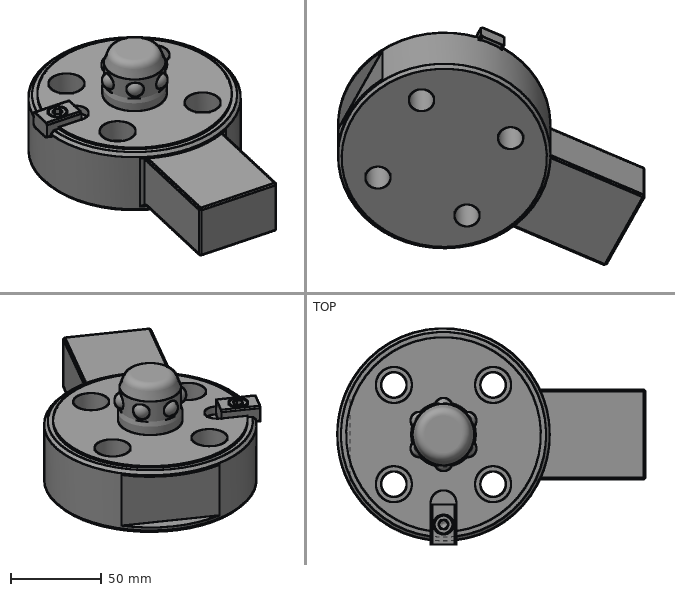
import cadquery as cq
import math

disc_radius = 59.0
disc_height = 40.0
rim_chamfer = 2.0
raised_face_radius = 54.0
raised_face_height = 1.0
rim_height = disc_height - raised_face_height

flat_distance = 52.0
flat_bottom = 4.0
flat_height = 32.0

hole_pitch = 55.0
hole_diameter = 14.0
counterbore_diameter = 20.0
counterbore_depth = 13.0

total_height = 69.5
post_radius = 18.0
neck_radius = 17.1
post_shoulder_z = 45.1
neck_bottom_z = 47.9
neck_top_z = 60.7
nose_angle = 20.0
nose_fillet = 5.0

ball_count = 6
ball_radius = 5.0
ball_tip_reach = 20.3
ball_z = 53.9

arm_end = 112.0
arm_width = 50.0
arm_chamfer = 1.0

key_width = 14.4
key_height = 10.0
key_length = 22.2
key_bottom = 35.0
key_outer_y = -61.0
key_chamfer = 1.0
slot_inner_y = -31.0

screw_y = -50.0
screw_head_radius = 5.0
screw_head_height = 6.0
screw_shank_radius = 3.0
screw_shank_length = 16.0
head_recess_radius = 5.5
socket_across_flats = 5.0
socket_depth = 4.0
socket_point_angle = 120.0

key_top = key_bottom + key_height
head_seat_z = key_top - screw_head_height


def upright_cylinder(radius, bottom, top, y=0.0):
    """Cylinder on a vertical axis between two heights."""
    return cq.Workplane("XY", origin=(0, y, bottom)).circle(radius).extrude(top - bottom)


def screw_shank():
    """Plain shank of the screw; also the shape of its hole in the key and the base."""
    return upright_cylinder(screw_shank_radius, head_seat_z - screw_shank_length, head_seat_z, y=screw_y)


def make_disc():
    """Round disc with chamfered rims and a low raised face on top."""
    disc = upright_cylinder(disc_radius, 0, rim_height)
    disc = disc.faces("<Z or >Z").chamfer(rim_chamfer)
    return disc.union(upright_cylinder(raised_face_radius, 0, disc_height))


def end_flats():
    """Cutters that leave a flat at each end of the disc in X."""
    cutters = cq.Workplane("XY")
    for side in (-1, 1):
        block = cq.Workplane("XY").box(
            disc_radius, 2 * disc_radius, flat_height, centered=(True, True, False)
        )
        centre_x = side * (flat_distance + disc_radius / 2)
        cutters = cutters.add(block.translate((centre_x, 0, flat_bottom)))
    return cutters.combine()


def key_slot():
    """Slot for the key: round inner end, open through the -Y rim."""
    end_radius = key_width / 2
    arc_centre_y = slot_inner_y - end_radius
    return (
        cq.Workplane("XY", origin=(0, 0, key_bottom))
        .moveTo(-end_radius, arc_centre_y)
        .threePointArc((0, slot_inner_y), (end_radius, arc_centre_y))
        .lineTo(end_radius, key_outer_y)
        .lineTo(-end_radius, key_outer_y)
        .close()
        .extrude(disc_height - key_bottom)
    )


def post_blank():
    """Turned post: cylinder, conical shoulder, neck and a rounded conical nose."""
    nose_tip_radius = neck_radius - (total_height - neck_top_z) * math.tan(math.radians(nose_angle))
    post = (
        cq.Workplane("XZ")
        .moveTo(0, disc_height)
        .lineTo(post_radius, disc_height)
        .lineTo(post_radius, post_shoulder_z)
        .lineTo(neck_radius, neck_bottom_z)
        .lineTo(neck_radius, neck_top_z)
        .lineTo(nose_tip_radius, total_height)
        .lineTo(0, total_height)
        .close()
        .revolve(360, (0, 0, 0), (0, 1, 0))
    )
    return post.faces(">Z").edges().fillet(nose_fillet)


def add_balls(post):
    """Locking balls standing out of the neck, one facing -Y."""
    centre_radius = ball_tip_reach - ball_radius
    for index in range(ball_count):
        angle = math.radians(-90 + index * 360 / ball_count)
        centre = (centre_radius * math.cos(angle), centre_radius * math.sin(angle), ball_z)
        post = post.union(cq.Workplane("XY").sphere(ball_radius).translate(centre))
    return post


def make_post():
    """Turned post with its ring of locking balls."""
    return add_balls(post_blank())


def make_arm():
    """Rectangular arm as tall as the flat; its edges are chamfered only outside the lips."""
    arm_length = arm_end - flat_distance
    block = (
        cq.Workplane("XY")
        .box(arm_length, arm_width, flat_height, centered=(False, True, False))
        .translate((flat_distance, 0, flat_bottom))
    )
    sharp_root = block.intersect(upright_cylinder(disc_radius, 0, disc_height))
    return block.edges("|X or >X").chamfer(arm_chamfer).union(sharp_root)


def make_base():
    """Disc and arm in one piece, with flats, mounting holes, key slot and screw hole."""
    base = make_disc().cut(end_flats()).union(make_arm())
    base = (
        base.faces(">Z")
        .workplane(origin=(0, 0, disc_height))
        .rect(hole_pitch, hole_pitch, forConstruction=True)
        .vertices()
        .cboreHole(hole_diameter, counterbore_diameter, counterbore_depth)
    )
    return base.cut(key_slot()).cut(screw_shank())


def make_key():
    """Key block with chamfered long edges and a stepped screw hole."""
    key = cq.Workplane("XY").box(key_width, key_length, key_height, centered=(True, False, False))
    key = key.edges("|Y").chamfer(key_chamfer).translate((0, key_outer_y, key_bottom))
    head_recess = upright_cylinder(head_recess_radius, head_seat_z, key_top, y=screw_y)
    return key.cut(head_recess).cut(screw_shank())


def make_screw():
    """Socket head screw, flush with the top of the key."""
    head = upright_cylinder(screw_head_radius, head_seat_z, key_top, y=screw_y)
    socket_across_corners = socket_across_flats / math.cos(math.radians(30))
    socket_floor_z = key_top - socket_depth
    socket = (
        cq.Workplane("XY", origin=(0, screw_y, socket_floor_z))
        .polygon(6, socket_across_corners)
        .extrude(socket_depth)
    )
    point_radius = socket_across_flats / 2
    point_depth = point_radius / math.tan(math.radians(socket_point_angle / 2))
    point = cq.Workplane("XY").add(
        cq.Solid.makeCone(
            point_radius, 0, point_depth, cq.Vector(0, screw_y, socket_floor_z), cq.Vector(0, 0, -1)
        )
    )
    return head.union(screw_shank()).cut(socket).cut(point)


base = make_base()
post = make_post()
key = make_key()
screw = make_screw()

bodies = [base, post, key, screw]
result = cq.Compound.makeCompound([body.solids().val() for body in bodies])